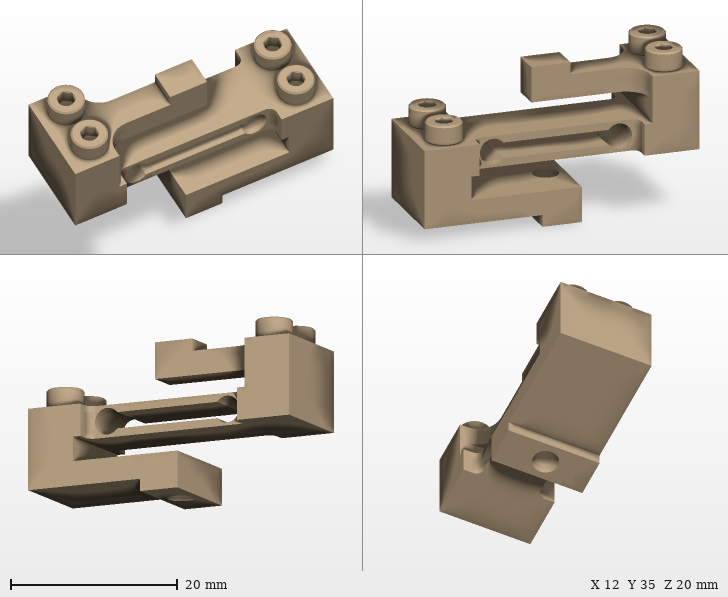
import cadquery as cq

WIDTH = 12.0
LENGTH = 35.0
HEIGHT = 20.0

BEAM_THICKNESS = 4.0
PAD_LENGTH = 7.0
BEAM_WAIST = 7.5
WAIST_FILLET = 1.0
FLEXURE_HOLE_DIAMETER = 3.3
FLEXURE_HOLE_INSET = 9.5
SLOT_HEIGHT = 2.0

BLOCK_LENGTH = 6.0
ARM_THICKNESS = 3.0
TAB_LENGTH = 5.0
TAB_HEIGHT = 1.5
UPPER_ARM_WIDTH = 3.92
UPPER_ARM_FILLET = 3.0
LOWER_HOLE_DIAMETER = 3.3

SCREW_SPACING = 6.0
SCREW_INSET = 3.5
HEAD_DIAMETER = 4.5
HEAD_HEIGHT = 2.5
HEAD_TOP_CHAMFER = 0.2
HEAD_BOTTOM_CHAMFER = 0.15
SOCKET_CORNER_DIAMETER = 2.3
SOCKET_DEPTH = 1.75
SOCKET_ANGLE = 54.0
SOCKET_COUNTERSINK = 0.158

BLOCK_HEIGHT = (HEIGHT - BEAM_THICKNESS - TAB_HEIGHT - HEAD_HEIGHT) / 2

ARM_REACH = (LENGTH + TAB_LENGTH) / 2

BEAM_TOP = BEAM_THICKNESS
UPPER_TOP = BEAM_TOP + BLOCK_HEIGHT
FRONT = -LENGTH / 2
BACK = LENGTH / 2


def make_beam():
    beam = cq.Workplane("XY").box(WIDTH, LENGTH, BEAM_THICKNESS, centered=(True, True, False))

    recess_depth = (WIDTH - BEAM_WAIST) / 2
    for side, inner_edges in ((-1, "|Z and >X"), (1, "|Z and <X")):
        recess = (
            cq.Workplane("XY")
            .center(side * (WIDTH - recess_depth) / 2, 0)
            .rect(recess_depth, LENGTH - 2 * PAD_LENGTH)
            .extrude(BEAM_THICKNESS)
            .edges(inner_edges)
            .fillet(WAIST_FILLET)
        )
        beam = beam.cut(recess)

    hole_y = BACK - FLEXURE_HOLE_INSET
    across = cq.Workplane("YZ", origin=(0, 0, BEAM_THICKNESS / 2))
    holes = (
        across.pushPoints([(-hole_y, 0), (hole_y, 0)])
        .circle(FLEXURE_HOLE_DIAMETER / 2)
        .extrude(WIDTH / 2, both=True)
    )
    slot = across.rect(2 * hole_y, SLOT_HEIGHT).extrude(WIDTH / 2, both=True)
    return beam.cut(holes).cut(slot)


def bracket_blank():
    """Full-width bracket with its block at the back end, hanging down from z = 0."""
    tip = BACK - ARM_REACH
    return (
        cq.Workplane("YZ")
        .polyline([
            (BACK, 0),
            (BACK, -BLOCK_HEIGHT),
            (tip + TAB_LENGTH, -BLOCK_HEIGHT),
            (tip + TAB_LENGTH, -BLOCK_HEIGHT - TAB_HEIGHT),
            (tip, -BLOCK_HEIGHT - TAB_HEIGHT),
            (tip, ARM_THICKNESS - BLOCK_HEIGHT),
            (BACK - BLOCK_LENGTH, ARM_THICKNESS - BLOCK_HEIGHT),
            (BACK - BLOCK_LENGTH, 0),
        ])
        .close()
        .extrude(WIDTH / 2, both=True)
    )


def make_lower_bracket():
    hole = (
        cq.Workplane("XY")
        .circle(LOWER_HOLE_DIAMETER / 2)
        .extrude(-BLOCK_HEIGHT - TAB_HEIGHT)
    )
    return bracket_blank().cut(hole)


def make_upper_bracket():
    bracket = (
        bracket_blank()
        .rotate((0, 0, 0), (1, 0, 0), 180)
        .translate((0, 0, BEAM_TOP))
    )
    arm_root = FRONT + BLOCK_LENGTH
    half_arm = UPPER_ARM_WIDTH / 2

    for side in (-1, 1):
        relief = (
            cq.Workplane("XY", origin=(0, 0, BEAM_TOP))
            .moveTo(side * WIDTH / 2, arm_root)
            .lineTo(side * (half_arm + UPPER_ARM_FILLET), arm_root)
            .radiusArc((side * half_arm, arm_root + UPPER_ARM_FILLET), side * UPPER_ARM_FILLET)
            .lineTo(side * half_arm, FRONT + ARM_REACH)
            .lineTo(side * WIDTH / 2, FRONT + ARM_REACH)
            .close()
            .extrude(BLOCK_HEIGHT + TAB_HEIGHT)
        )
        bracket = bracket.cut(relief)
    return bracket


def make_screw(x, y, seat_z):
    head = (
        cq.Workplane("XY")
        .circle(HEAD_DIAMETER / 2)
        .extrude(HEAD_HEIGHT)
        .faces(">Z").chamfer(HEAD_TOP_CHAMFER)
        .faces("<Z").chamfer(HEAD_BOTTOM_CHAMFER)
    )
    socket = (
        cq.Workplane("XY", origin=(0, 0, HEAD_HEIGHT))
        .polygon(6, SOCKET_CORNER_DIAMETER)
        .extrude(-SOCKET_DEPTH)
        .rotate((0, 0, 0), (0, 0, 1), SOCKET_ANGLE)
    )
    countersink = (
        cq.Workplane("XY", origin=(0, 0, HEAD_HEIGHT))
        .circle(SOCKET_CORNER_DIAMETER / 2)
        .extrude(-SOCKET_COUNTERSINK, taper=45)
    )
    return head.cut(socket).cut(countersink).translate((x, y, seat_z))


beam = make_beam()
lower_bracket = make_lower_bracket()
upper_bracket = make_upper_bracket()

screws = []
for seat_y, seat_z in ((FRONT + SCREW_INSET, UPPER_TOP), (BACK - SCREW_INSET, BEAM_TOP)):
    for side in (-1, 1):
        screws.append(make_screw(side * SCREW_SPACING / 2, seat_y, seat_z).val())

result = cq.Compound.makeCompound([beam.val(), lower_bracket.val(), upper_bracket.val(), *screws])